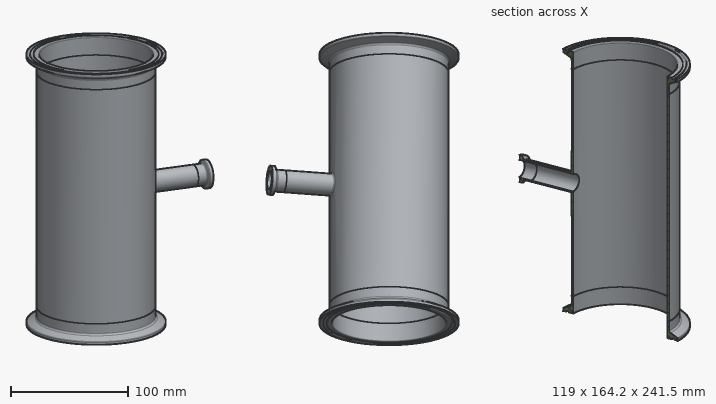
import cadquery as cq

total_length = 241.5
branch_reach = 104.65

pipe_radius = 50.81
pipe_wall = 2.2
root_fillet = 1.0

flange_radius = 59.5
ferrule_length = 16.2
rim_thickness = 3.0
rim_round = 0.7
cone_height = 6.5
neck_fillet = 2.0
groove_radius = 54.8
groove_width = 3.1
groove_depth = 1.2
lip_round = 0.5

branch_radius = 9.54
branch_wall = 1.7
branch_flange_radius = 12.5
branch_ferrule_length = 12.8
branch_rim_thickness = 3.5
branch_cone_height = 4.5
branch_rim_round = 0.5
branch_neck_fillet = 1.0

pipe_bore = pipe_radius - pipe_wall
pipe_length = total_length - 2 * ferrule_length
branch_bore = branch_radius - branch_wall
branch_length = branch_reach - branch_ferrule_length
selection_reach = 0.12


def circle_at(height):
    """Selector for the circular edge centred on the Z axis at a height."""
    reach = selection_reach
    return cq.selectors.BoxSelector(
        (-reach, -reach, height - reach),
        (reach, reach, height + reach),
    )


def ferrule_blank(bore, neck, flange, length, rim, cone, edge_round, neck_blend):
    """Clamp ferrule with its sealing face on Z = 0 and its neck toward +Z."""
    blank = (
        cq.Workplane("XZ")
        .moveTo(bore, 0)
        .lineTo(flange, 0)
        .lineTo(flange, rim)
        .lineTo(neck, cone)
        .lineTo(neck, length)
        .lineTo(bore, length)
        .close()
        .revolve(360, (0, 0, 0), (0, 1, 0))
    )
    blank = blank.edges(circle_at(rim)).fillet(edge_round)
    return blank.edges(circle_at(cone)).fillet(neck_blend)


def gasket_groove():
    """Ring with a rounded floor, cut into the sealing face on Z = 0."""
    half_width = groove_width / 2
    return (
        cq.Workplane("XZ")
        .moveTo(groove_radius - half_width, 0)
        .threePointArc((groove_radius, groove_depth), (groove_radius + half_width, 0))
        .close()
        .revolve(360, (0, 0, 0), (0, 1, 0))
    )


def main_ferrule(end):
    """Ferrule on the bottom (end = -1) or the top (end = 1) of the main pipe."""
    ferrule = ferrule_blank(
        pipe_bore, pipe_radius, flange_radius, ferrule_length,
        rim_thickness, cone_height, rim_round, neck_fillet,
    ).cut(gasket_groove())
    lip_edges = ferrule.edges("<Z").filter(lambda edge: edge.radius() < flange_radius - lip_round)
    ferrule = lip_edges.fillet(lip_round)
    if end > 0:
        ferrule = ferrule.rotate((0, 0, 0), (1, 0, 0), 180)
    return ferrule.translate((0, 0, end * total_length / 2))


def branch_ferrule():
    """Small plain-faced ferrule closing the branch, sealing face toward +Y."""
    return ferrule_blank(
        branch_bore, branch_radius, branch_flange_radius, branch_ferrule_length,
        branch_rim_thickness, branch_cone_height, branch_rim_round, branch_neck_fillet,
    ).rotate((0, 0, 0), (1, 0, 0), 90).translate((0, branch_reach, 0))


def branch_rod(radius):
    """Solid rod from the pipe axis to the end of the branch pipe."""
    return cq.Workplane("XZ").circle(radius).extrude(-branch_length)


def branched_pipe():
    """Main pipe with the branch pipe blended into its side."""
    outside = cq.Workplane("XY").circle(pipe_radius).extrude(pipe_length / 2, both=True)
    outside = outside.union(branch_rod(branch_radius))
    root_zone = cq.selectors.BoxSelector(
        (-branch_radius, pipe_radius - pipe_wall, -branch_radius),
        (branch_radius, pipe_radius + pipe_wall, branch_radius),
    )
    outside = outside.edges(root_zone).fillet(root_fillet)
    main_bore = cq.Workplane("XY").circle(pipe_bore).extrude(pipe_length / 2, both=True)
    return outside.cut(main_bore).cut(branch_rod(branch_bore))


pipe = branched_pipe()
main_ferrules = [main_ferrule(end) for end in (-1, 1)]
small_ferrule = branch_ferrule()

result = cq.Compound.makeCompound(
    [pipe.val(), *[ferrule.val() for ferrule in main_ferrules], small_ferrule.val()]
)